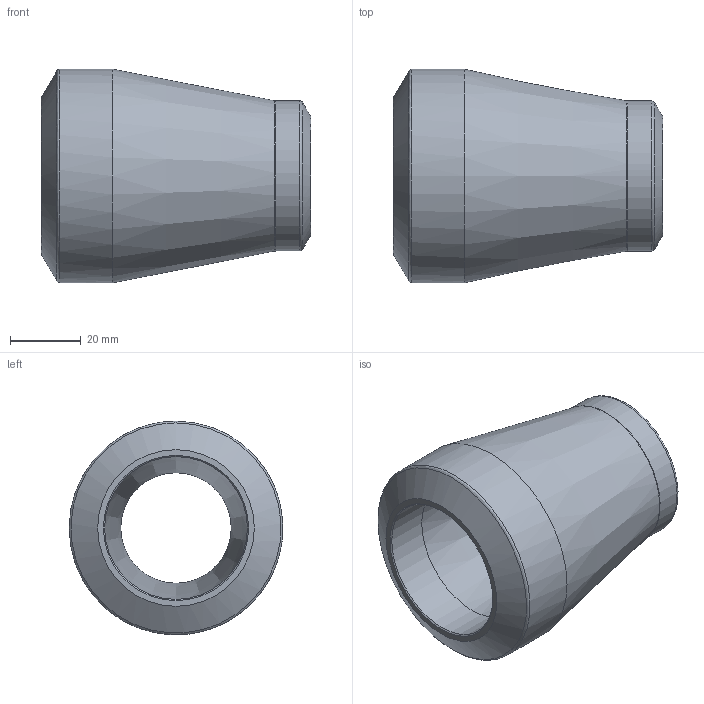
import cadquery as cq
import math

LENGTH = 76.0

LARGE_OUTER_RADIUS = 60.3 / 2
LARGE_BORE_RADIUS = 40.3 / 2
LARGE_OUTER_STRAIGHT = 20.0
LARGE_BORE_STRAIGHT = 12.3
LARGE_LAND_WIDTH = 1.6
MOUTH_CHAMFER = 0.35

SMALL_OUTER_RADIUS = 42.4 / 2
SMALL_BORE_RADIUS = 31.2 / 2
SMALL_OUTER_STRAIGHT = 10.0
SMALL_LAND_WIDTH = 1.2

BEVEL_ANGLE = 30.0
BEVEL_EDGE_RADIUS = 1.0

NECK_RADIUS = 1.0

SELECT_MARGIN = 0.01

large_land_radius = LARGE_BORE_RADIUS + MOUTH_CHAMFER + LARGE_LAND_WIDTH
small_land_radius = SMALL_BORE_RADIUS + SMALL_LAND_WIDTH


def bevel_length(outer_radius, land_radius):
    """Length along X of a bevel from the land out to the cylinder."""
    return (outer_radius - land_radius) * math.tan(math.radians(BEVEL_ANGLE))


large_bevel_end = bevel_length(LARGE_OUTER_RADIUS, large_land_radius)
small_bevel_start = LENGTH - bevel_length(SMALL_OUTER_RADIUS, small_land_radius)
small_straight_start = LENGTH - SMALL_OUTER_STRAIGHT

cone_length = small_straight_start - LARGE_OUTER_STRAIGHT
bore_cone_end = LARGE_BORE_STRAIGHT + cone_length


def make_outer_body():
    """Solid body of revolution about X, with sharp corners."""
    return (
        cq.Workplane("XZ")
        .moveTo(0, 0)
        .lineTo(0, large_land_radius)
        .lineTo(large_bevel_end, LARGE_OUTER_RADIUS)
        .lineTo(LARGE_OUTER_STRAIGHT, LARGE_OUTER_RADIUS)
        .lineTo(small_straight_start, SMALL_OUTER_RADIUS)
        .lineTo(small_bevel_start, SMALL_OUTER_RADIUS)
        .lineTo(LENGTH, small_land_radius)
        .lineTo(LENGTH, 0)
        .close()
        .revolve(360, (0, 0, 0), (1, 0, 0))
    )


def make_bore():
    """Tapering bore with a chamfered mouth at the large end."""
    return (
        cq.Workplane("XZ")
        .moveTo(0, 0)
        .lineTo(0, LARGE_BORE_RADIUS + MOUTH_CHAMFER)
        .lineTo(MOUTH_CHAMFER, LARGE_BORE_RADIUS)
        .lineTo(LARGE_BORE_STRAIGHT, LARGE_BORE_RADIUS)
        .lineTo(bore_cone_end, SMALL_BORE_RADIUS)
        .lineTo(LENGTH, SMALL_BORE_RADIUS)
        .lineTo(LENGTH, 0)
        .close()
        .revolve(360, (0, 0, 0), (1, 0, 0))
    )


def round_circle(body, x, radius):
    """Fillet the circular edge of the body that lies in the plane X = x."""
    half_size = 2 * LARGE_OUTER_RADIUS
    slab = cq.selectors.BoxSelector(
        (x - SELECT_MARGIN, -half_size, -half_size),
        (x + SELECT_MARGIN, half_size, half_size),
        boundingbox=True,
    )
    return body.edges(slab).fillet(radius)


body = make_outer_body()
body = round_circle(body, large_bevel_end, BEVEL_EDGE_RADIUS)
body = round_circle(body, small_bevel_start, BEVEL_EDGE_RADIUS)
body = round_circle(body, small_straight_start, NECK_RADIUS)

result = body.cut(make_bore())